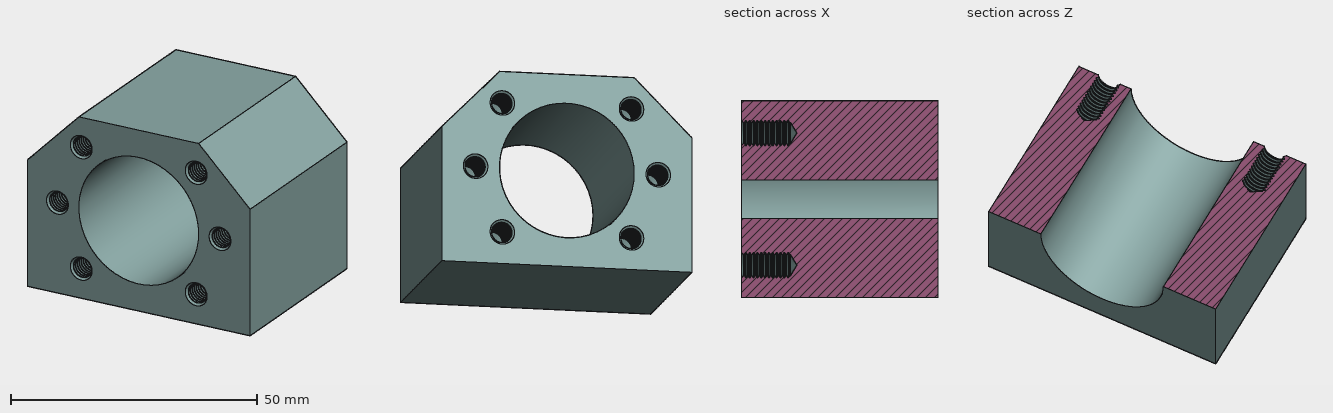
import cadquery as cq
import math

width = 52.0
depth = 40.0
height = 40.0
bevel = 12.0

bore_diameter = 28.0

bolt_circle_radius = 19.0
hole_angles = [0, 45, 135, 180, 225, 315]
thread_minor_diameter = 4.2
thread_major_diameter = 5.1
thread_pitch = 0.8
crest_width = thread_pitch / 4
root_width = thread_pitch / 8
thread_turns = 12
drill_point_angle = 118.0


def make_block():
    block = cq.Workplane("XY").box(width, depth, height)
    return block.edges("|Y and >Z").chamfer(bevel)


def make_bore():
    return cq.Workplane("XZ").circle(bore_diameter / 2).extrude(depth / 2, both=True)


def make_threaded_hole():
    """Hole along +Y from the origin; chamfered mouth, ring grooves as thread, then a drill point."""
    minor_radius = thread_minor_diameter / 2
    major_radius = thread_major_diameter / 2
    lead_in = major_radius - minor_radius
    tip_length = minor_radius / math.tan(math.radians(drill_point_angle / 2))

    profile = cq.Workplane("XY").lineTo(major_radius, 0).lineTo(minor_radius, lead_in)
    for turn in range(thread_turns):
        start = lead_in + turn * thread_pitch
        groove_start = start + crest_width
        groove_end = start + thread_pitch
        root_start = (groove_start + groove_end - root_width) / 2
        profile = (
            profile.lineTo(minor_radius, groove_start)
            .lineTo(major_radius, root_start)
            .lineTo(major_radius, root_start + root_width)
            .lineTo(minor_radius, groove_end)
        )
    thread_end = lead_in + thread_turns * thread_pitch + crest_width
    profile = profile.lineTo(minor_radius, thread_end).lineTo(0, thread_end + tip_length).close()
    return profile.revolve(360, (0, 0, 0), (0, 1, 0))


result = make_block().cut(make_bore())

threaded_hole = make_threaded_hole()
for angle in hole_angles:
    x = bolt_circle_radius * math.cos(math.radians(angle))
    z = bolt_circle_radius * math.sin(math.radians(angle))
    result = result.cut(threaded_hole.translate((x, -depth / 2, z)))